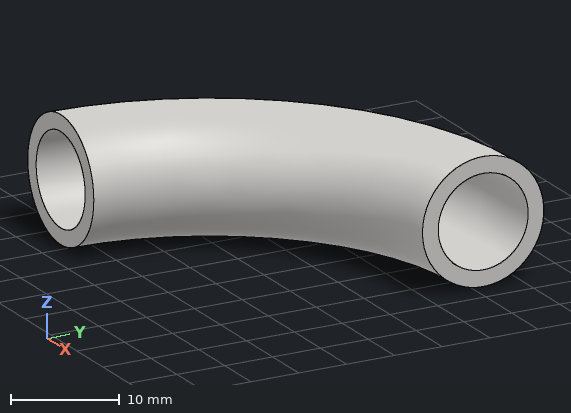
import cadquery as cq

tube_diameter = 12.7
wall_thickness = 1.65
bend_radius = 28.575
bend_angle = 90.0

bore_diameter = tube_diameter - 2 * wall_thickness


def make_elbow():
    """Sweep the tube ring about the vertical bend axis through the origin.

    The elbow runs from an end facing -Y, centred on the -X axis,
    to an end facing +X, centred on the +Y axis.
    """
    ring = (
        cq.Workplane("XZ")
        .center(-bend_radius, 0)
        .circle(tube_diameter / 2)
        .circle(bore_diameter / 2)
    )
    axis_start = (bend_radius, 0)
    axis_end = (bend_radius, -1)
    return ring.revolve(bend_angle, axis_start, axis_end)


result = make_elbow()